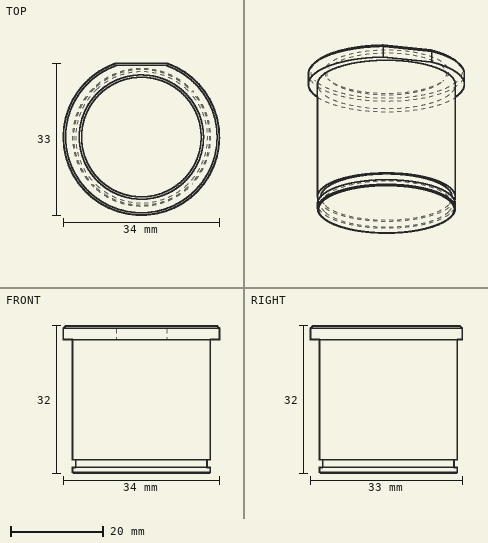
import cadquery as cq

flange_diameter = 33.95
total_height = 32.0
flange_thickness = 3.0
flange_chamfer = 0.5
flat_distance = 16.05

barrel_diameter = 30.0
groove_diameter = 28.6
groove_bottom = 1.3
groove_width = 1.6
foot_chamfer = 0.25

recess_diameter = 26.0
rim_width = 0.5
recess_depth = 0.5


def disc(diameter, bottom, height):
    """Cylinder on the Z axis, standing on the given level."""
    return cq.Workplane("XY").workplane(offset=bottom).circle(diameter / 2).extrude(height)


def flange():
    """Top flange with one flat and a chamfered upper edge."""
    bottom = total_height - flange_thickness
    beyond_flat = (
        cq.Workplane("XY")
        .workplane(offset=bottom)
        .center(0, flat_distance + flange_diameter / 2)
        .rect(flange_diameter, flange_diameter)
        .extrude(flange_thickness)
    )
    body = disc(flange_diameter, bottom, flange_thickness).cut(beyond_flat)
    return body.faces(">Z").edges().chamfer(flange_chamfer)


def barrel():
    """Barrel with a chamfered foot and a groove above it."""
    body = disc(barrel_diameter, 0, total_height - flange_thickness)
    body = body.faces("<Z").edges().chamfer(foot_chamfer)
    groove = disc(barrel_diameter, groove_bottom, groove_width).cut(
        disc(groove_diameter, groove_bottom, groove_width)
    )
    return body.cut(groove)


def recess():
    """Conical recess that widens towards the top face."""
    return (
        cq.Workplane("XY")
        .workplane(offset=total_height - recess_depth)
        .circle(recess_diameter / 2)
        .workplane(offset=recess_depth)
        .circle(recess_diameter / 2 + rim_width)
        .loft()
    )


result = barrel().union(flange()).cut(recess())